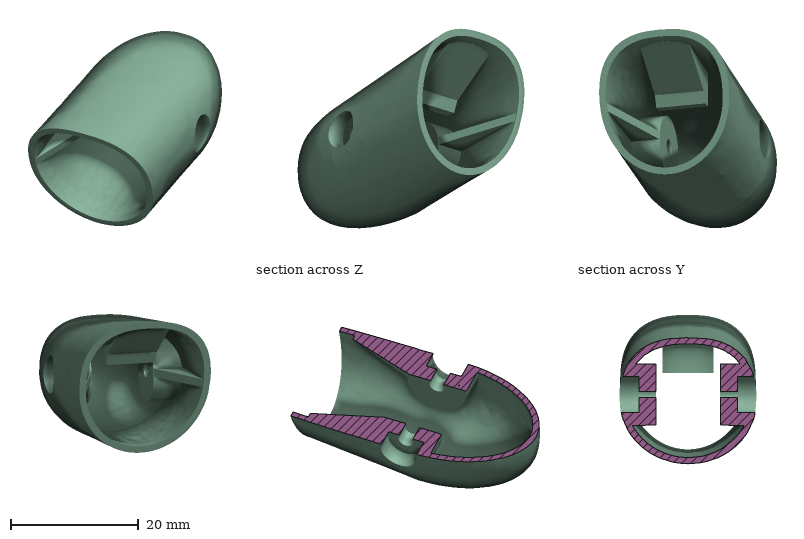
import cadquery as cq
import math

length = 40.25
height = 23.6
half_width = 10.75
wall = 1.05

mouth_bottom_y = 5.4
mouth_bottom_z = 1.5
mouth_mid_z = 13.3
mouth_half_width = 10.6
seam_top_y = 24.32
seam_bottom_y = 23.5
seam_top_z = 19.35
nose_z = 9.45
roof_slope = (height - seam_top_z) / seam_top_y

shoulder_power = 2.5
seam_power = 2.5
round_power = 2.0
nose_roof_power = 3.5
nose_belly_power = 2.5
section_points = 24
nose_steps = 10
nose_last_angle = 89.0

pivot_y = 21.35
pivot_z = 11.15
boss_radius = 5.0
boss_inner_x = 5.0
pin_radius = 1.3
counterbore_radius = 3.02
counterbore_floor_x = 7.77

rib_start_y = 2.8
rib_start_top_z = 13.3
rib_end_y = 16.6
rib_end_top_z = 12.3
rib_height = 1.3

wedge_half_width = 4.0
wedge_start_y = 2.0
wedge_ramp_end_y = 10.47
wedge_ramp_end_z = 16.35
wedge_tip_y = 11.28
wedge_tip_z = 14.5
wedge_back_y = 12.9


def section(top, bottom, mid_z, half_x, upper_power, inset=0.0):
    """Closed superellipse wire on the leaning plane through two (y, z) points."""
    top_y, top_z = top
    bottom_y, bottom_z = bottom
    lean = (top_y - bottom_y) / (top_z - bottom_z)
    points = []
    for i in range(section_points):
        angle = 2 * math.pi * i / section_points
        across, up = math.cos(angle), math.sin(angle)
        power = upper_power if up > 0 else round_power
        reach = (top_z - mid_z if up > 0 else mid_z - bottom_z) - inset
        x = (half_x - inset) * math.copysign(abs(across) ** (2 / power), across)
        z = mid_z + reach * math.copysign(abs(up) ** (2 / power), up)
        points.append(cq.Vector(x, bottom_y + lean * (z - bottom_z), z))
    return cq.Wire.assembleEdges([cq.Edge.makeSpline(points, periodic=True)])


def roundoff(t, power):
    return (1 - t ** power) ** (1 / power)


def nose_section(angle, inset):
    """Nose section; angle runs from 0 at the seam towards 90 at the tip."""
    t = math.sin(math.radians(angle))
    tip_y = length - inset
    top_y = seam_top_y + (tip_y - seam_top_y) * t
    bottom_y = seam_bottom_y + (tip_y - seam_bottom_y) * t
    roof_z = height - roof_slope * top_y - inset
    top_z = nose_z + (roof_z - nose_z) * roundoff(t, nose_roof_power)
    bottom_z = nose_z - (nose_z - inset) * roundoff(t, nose_belly_power)
    half_x = (half_width - inset) * roundoff(t, round_power)
    return section((top_y, top_z), (bottom_y, bottom_z), nose_z, half_x, seam_power)


def shell_volume(inset):
    mouth = section(
        (0, height), (mouth_bottom_y, mouth_bottom_z), mouth_mid_z, mouth_half_width, shoulder_power, inset
    )
    body = cq.Solid.makeLoft([mouth, nose_section(0, inset)], True)
    rings = [nose_section(nose_last_angle * i / nose_steps, inset) for i in range(nose_steps + 1)]
    nose = cq.Solid.makeLoft(rings)
    return cq.Workplane(body).union(cq.Workplane(nose))


def cross_cylinder(radius, start_x, end_x):
    return (
        cq.Workplane("YZ", origin=(start_x, pivot_y, pivot_z)).circle(radius).extrude(end_x - start_x)
    )


def side_rib():
    """Rib on the +X wall, triangular in plan and sinking towards the boss."""
    plan = (
        cq.Workplane("XY")
        .polyline([
            (mouth_half_width - wall, rib_start_y),
            (boss_inner_x, rib_end_y),
            (half_width, rib_end_y),
            (half_width, rib_start_y),
        ])
        .close()
        .extrude(height)
    )
    band = (
        cq.Workplane("YZ")
        .polyline([
            (rib_start_y, rib_start_top_z),
            (rib_end_y, rib_end_top_z),
            (rib_end_y, rib_end_top_z - rib_height),
            (rib_start_y, rib_start_top_z - rib_height),
        ])
        .close()
        .extrude(half_width)
    )
    return plan.intersect(band)


outer = shell_volume(0)
cavity = shell_volume(wall)

side_support = cross_cylinder(boss_radius, boss_inner_x, half_width).union(side_rib())
wedge = (
    cq.Workplane("YZ", origin=(-wedge_half_width, 0, 0))
    .polyline([
        (wedge_start_y, height - wall - roof_slope * wedge_start_y),
        (wedge_ramp_end_y, wedge_ramp_end_z),
        (wedge_tip_y, wedge_tip_z),
        (wedge_back_y, wedge_tip_z),
        (wedge_back_y, height),
        (wedge_start_y, height),
    ])
    .close()
    .extrude(2 * wedge_half_width)
)
inside = side_support.union(side_support.mirror("YZ")).union(wedge).intersect(outer)

result = outer.cut(cavity).union(inside)
result = result.cut(cross_cylinder(pin_radius, -half_width, half_width))
counterbore = cross_cylinder(counterbore_radius, counterbore_floor_x, half_width + wall)
result = result.cut(counterbore).cut(counterbore.mirror("YZ"))